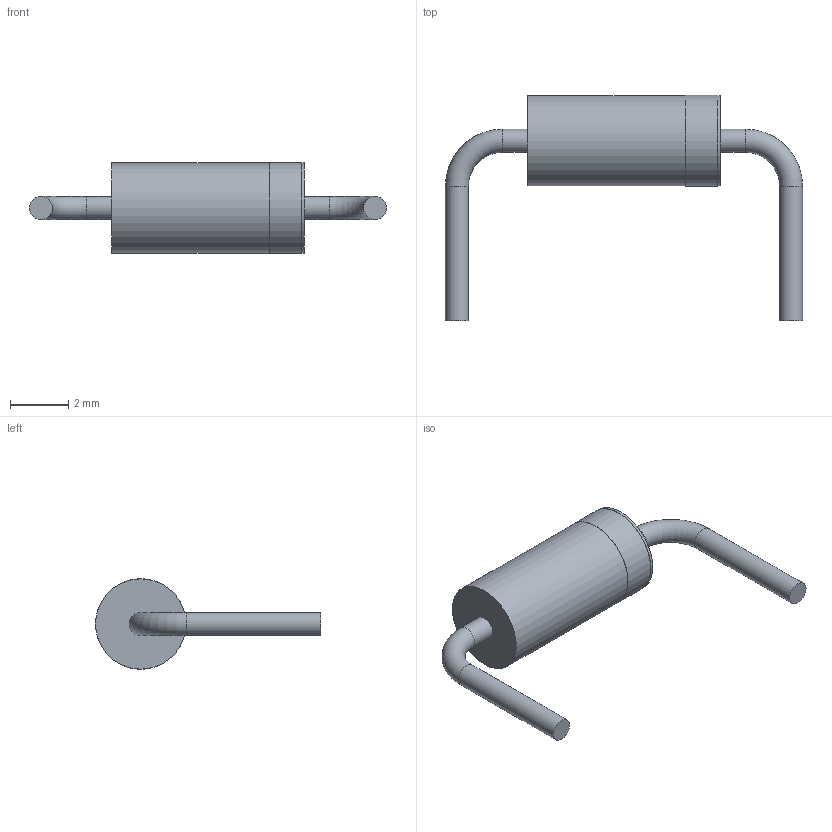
import cadquery as cq

body_diameter = 3.09
body_length = 6.6
band_diameter = 3.1
band_width = 1.1
band_end_gap = 0.1

wire_diameter = 0.79
lead_pitch = 11.43
lead_reach = 6.15
bend_radius = 1.56

body_end_x = body_length / 2
band_end_x = body_end_x - band_end_gap
band_start_x = band_end_x - band_width
lead_x = lead_pitch / 2
bend_start_x = lead_x - bend_radius


def cylinder_along_x(diameter, start_x, end_x):
    """Solid cylinder on the body axis between two X positions."""
    return (
        cq.Workplane("YZ", origin=(start_x, 0, 0))
        .circle(diameter / 2)
        .extrude(end_x - start_x)
    )


def make_body():
    """Cylindrical body with the raised polarity band near its +X end."""
    body = cylinder_along_x(body_diameter, -body_end_x, body_end_x)
    band = cylinder_along_x(band_diameter, band_start_x, band_end_x)
    return body.union(band)


def make_lead():
    """Wire from the body centre out along +X, then bent 90 degrees towards -Y."""
    centreline = (
        cq.Workplane("XY")
        .lineTo(bend_start_x, 0)
        .tangentArcPoint((bend_radius, -bend_radius))
        .lineTo(lead_x, -lead_reach)
    )
    return cq.Workplane("YZ").circle(wire_diameter / 2).sweep(centreline)


lead = make_lead()
result = make_body().union(lead).union(lead.mirror("YZ"))